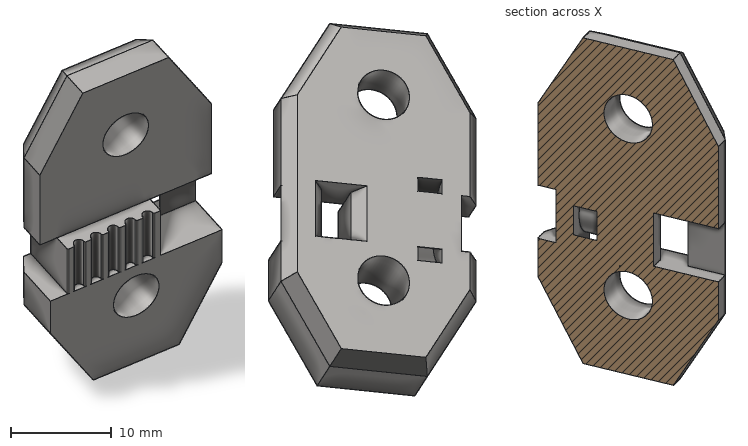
import cadquery as cq
import math

width = 20.0
height = 37.1
corner_angle = math.radians(60)
bevel_depth = 2.0
bevel_angle = 30.0
bevel_inset = bevel_depth * math.tan(math.radians(bevel_angle))
thin = 5.0
thick = 7.0

hole_diameter = 5.3
hole_spacing = 20.1
hole_mid_z = 0.5

belt_width = 6.0
belt_top = 0.5
belt_bottom = belt_top - belt_width
belt_mid = belt_top - belt_width / 2
notch_depth = 2.0
notch_y = notch_depth - width / 2
window_width = 3.0
window_y = 2.85

tooth_pitch = 2.0
tooth_count = 6
tooth_radius = 0.555
tooth_depth = 0.75
mouth_radius = 0.2
first_tooth_y = notch_y - tooth_radius

tie_width = 2.5
tie_thickness = 1.5
tie_mid_y = -4.75
tie_centre_x = -0.75
tie_inner_radius = math.hypot(tie_centre_x, belt_width / 2)
tie_outer_radius = math.hypot(tie_centre_x, belt_width / 2 + tie_thickness)


def box(x0, x1, y0, y1, z0, z1):
    """Box between the given limits."""
    return cq.Workplane("XY").box(x1 - x0, y1 - y0, z1 - z0, centered=False).translate((x0, y0, z0))


def plate():
    """Full-thickness plate with a bevel all round its front face."""
    side_y = width / 2
    end_y = side_y / 2
    end_z = height / 2
    side_z = end_z - (side_y - end_y) * math.tan(corner_angle)
    outline = [
        (side_y, side_z),
        (end_y, end_z),
        (-end_y, end_z),
        (-side_y, side_z),
        (-side_y, -side_z),
        (-end_y, -end_z),
        (end_y, -end_z),
        (side_y, -side_z),
    ]
    body = cq.Workplane("YZ").polyline(outline).close().extrude(thick)
    return body.faces("<X").chamfer(bevel_depth, bevel_inset)


def back_step():
    """Material removed behind the thin upper plate, and behind the web where the belt leaves at +Y."""
    half = width / 2
    above = box(thin, thick, -half, half, belt_top, height / 2)
    belt_exit = box(bevel_depth, thick, window_y, half, belt_bottom, belt_top)
    return above.union(belt_exit)


def mounting_holes():
    """Two through holes along X."""
    centres = [(0, hole_mid_z + side * hole_spacing / 2) for side in (-1, 1)]
    return cq.Workplane("YZ").pushPoints(centres).circle(hole_diameter / 2).extrude(thick)


def side_notch():
    """Notch through the -Y edge for the belt."""
    return box(0, thick, -width / 2, notch_y, belt_bottom, belt_top)


def window():
    """Belt window whose two upright sides flare towards the front face."""
    far_y = window_y + window_width
    profile = [
        (0, window_y - bevel_inset),
        (bevel_depth, window_y),
        (bevel_depth, far_y),
        (0, far_y + bevel_inset),
    ]
    return cq.Workplane("XY").workplane(offset=belt_bottom).polyline(profile).close().extrude(belt_width)


def tooth_groove(y):
    """One groove along Z: round bottom, straight flanks and rounded mouth edges."""
    centre_x = thick - tooth_depth + tooth_radius
    flank_end_x = thick - mouth_radius
    mouth_half = tooth_radius + mouth_radius
    mouth_mid = mouth_radius * math.sqrt(0.5)
    return (
        cq.Workplane("XY", origin=(0, y, belt_bottom))
        .moveTo(thick, -mouth_half)
        .threePointArc((flank_end_x + mouth_mid, mouth_mid - mouth_half), (flank_end_x, -tooth_radius))
        .lineTo(centre_x, -tooth_radius)
        .threePointArc((thick - tooth_depth, 0), (centre_x, tooth_radius))
        .lineTo(flank_end_x, tooth_radius)
        .threePointArc((flank_end_x + mouth_mid, mouth_half - mouth_mid), (thick, mouth_half))
        .close()
        .extrude(belt_width)
    )


def tooth_grooves():
    """Row of belt tooth grooves in the back of the clamping block."""
    grooves = tooth_groove(first_tooth_y)
    for i in range(1, tooth_count):
        grooves = grooves.union(tooth_groove(first_tooth_y + i * tooth_pitch))
    return grooves


def tie_channel():
    """Arched channel opening twice on the front face, mid-height on the belt band."""
    return (
        cq.Workplane("XZ", origin=(tie_centre_x, tie_mid_y, belt_mid))
        .circle(tie_outer_radius)
        .circle(tie_inner_radius)
        .extrude(tie_width / 2, both=True)
    )


result = plate()
for cutter in (back_step(), mounting_holes(), side_notch(), window(), tooth_grooves(), tie_channel()):
    result = result.cut(cutter)